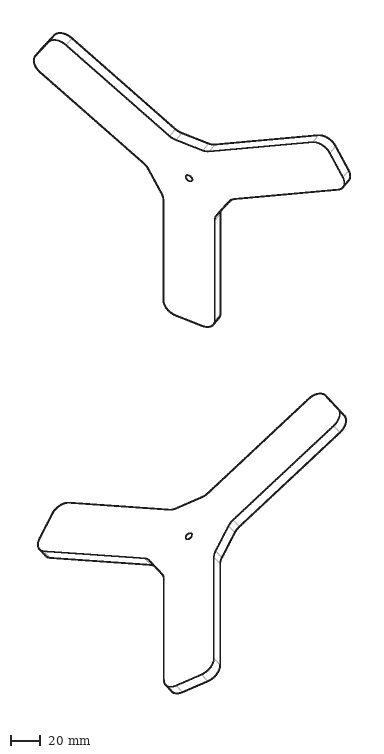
import cadquery as cq
import math

overall_width = 241.3
thickness = 8.0
arm_count = 3
arm_width = 40.0
tip_radius = 10.0
web_distance = 30.6
web_radius = 10.0
hole_diameter = 5.0
first_arm_angle = -90
pick_margin = 0.2

arm_pitch = 360 / arm_count
half_width = arm_width / 2
half_pitch = math.radians(arm_pitch / 2)
upper_arm_tilt = math.radians(90 - arm_pitch / 2)
tip_arc_reach = overall_width / 2 - tip_radius
tip_arc_offset = half_width - tip_radius
arm_length = tip_radius + (
    tip_arc_reach - tip_arc_offset * math.sin(upper_arm_tilt)
) / math.cos(upper_arm_tilt)
web_corner = (web_distance - half_width * math.sin(half_pitch)) / math.cos(half_pitch)


def rotated(point, degrees):
    """Turn a point about the hub centre."""
    x, z = point
    angle = math.radians(degrees)
    return (
        x * math.cos(angle) - z * math.sin(angle),
        x * math.sin(angle) + z * math.cos(angle),
    )


def plate_corners(distance):
    """Both corners of every arm at one distance along it, in order around the hub."""
    corners = []
    for i in range(arm_count):
        direction = first_arm_angle + i * arm_pitch
        for side in (-half_width, half_width):
            corners.append(rotated((distance, side), direction))
    return corners


def edges_at(points):
    """Selector for the thickness-direction edges standing at the given points."""
    selector = None
    for x, z in points:
        box = cq.selectors.BoxSelector(
            (x - pick_margin, -thickness, z - pick_margin),
            (x + pick_margin, thickness, z + pick_margin),
        )
        selector = box if selector is None else selector + box
    return selector


root_corners = plate_corners(web_corner)
tip_corners = plate_corners(arm_length)
outline = []
for right in range(0, 2 * arm_count, 2):
    left = right + 1
    outline += [root_corners[right], tip_corners[right], tip_corners[left], root_corners[left]]
plate = cq.Workplane("XZ").polyline(outline).close().extrude(thickness / 2, both=True)

plate = plate.edges(edges_at(tip_corners)).fillet(tip_radius)
plate = plate.edges(edges_at(root_corners)).fillet(web_radius)

hole = cq.Workplane("XZ").circle(hole_diameter / 2).extrude(thickness, both=True)
result = plate.cut(hole)